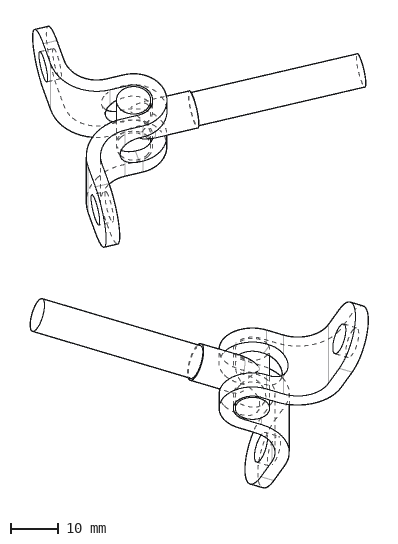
import cadquery as cq

STRAP_LENGTH = 55.0
STRAP_WIDTH = 16.05
STRAP_THICKNESS = 3.0
CROWN_INNER_RADIUS = 4.0
CROWN_CENTRE_Y = 14.0
BEND_OUTER_RADIUS = 10.05
FOOT_HOLE_DIAMETER = 6.5
SLOT_WIDTH = 8.4
SLOT_END_Y = 9.0

crown_outer_radius = CROWN_INNER_RADIUS + STRAP_THICKNESS
bend_centre_x = CROWN_INNER_RADIUS + BEND_OUTER_RADIUS
bend_inner_radius = BEND_OUTER_RADIUS - STRAP_THICKNESS
foot_end_radius = STRAP_WIDTH / 2
foot_hole_x = STRAP_LENGTH / 2 - foot_end_radius

ROD_END_Y = 63.5
ROD_DIAMETER = 7.2
COLLAR_DIAMETER = 8.0
COLLAR_END_Y = 27.05

pin_radius = ROD_DIAMETER / 2
collar_radius = COLLAR_DIAMETER / 2
pin_centre_y = CROWN_CENTRE_Y
collar_start_y = pin_centre_y + pin_radius


def make_strap_profile():
    """Hat-shaped strip: two feet, two quarter bends and a round crown."""
    half_length = STRAP_LENGTH / 2
    return (
        cq.Workplane("XY")
        .moveTo(-half_length, 0)
        .lineTo(-bend_centre_x, 0)
        .radiusArc((-CROWN_INNER_RADIUS, BEND_OUTER_RADIUS), -BEND_OUTER_RADIUS)
        .lineTo(-CROWN_INNER_RADIUS, CROWN_CENTRE_Y)
        .threePointArc((0, CROWN_CENTRE_Y + CROWN_INNER_RADIUS), (CROWN_INNER_RADIUS, CROWN_CENTRE_Y))
        .lineTo(CROWN_INNER_RADIUS, BEND_OUTER_RADIUS)
        .radiusArc((bend_centre_x, 0), -BEND_OUTER_RADIUS)
        .lineTo(half_length, 0)
        .lineTo(half_length, STRAP_THICKNESS)
        .lineTo(bend_centre_x, STRAP_THICKNESS)
        .radiusArc((crown_outer_radius, BEND_OUTER_RADIUS), bend_inner_radius)
        .lineTo(crown_outer_radius, CROWN_CENTRE_Y)
        .threePointArc((0, CROWN_CENTRE_Y + crown_outer_radius), (-crown_outer_radius, CROWN_CENTRE_Y))
        .lineTo(-crown_outer_radius, BEND_OUTER_RADIUS)
        .radiusArc((-bend_centre_x, STRAP_THICKNESS), bend_inner_radius)
        .lineTo(-half_length, STRAP_THICKNESS)
        .close()
    )


def make_crown_slot():
    """Slot across the crown, open at the top and round at its lower end."""
    slot_radius = SLOT_WIDTH / 2
    slot_centre_y = SLOT_END_Y + slot_radius
    slot_top_y = CROWN_CENTRE_Y + crown_outer_radius
    return (
        cq.Workplane("YZ")
        .moveTo(slot_top_y, slot_radius)
        .lineTo(slot_centre_y, slot_radius)
        .threePointArc((SLOT_END_Y, 0), (slot_centre_y, -slot_radius))
        .lineTo(slot_top_y, -slot_radius)
        .close()
        .extrude(bend_centre_x, both=True)
    )


def make_bracket():
    strap = make_strap_profile().extrude(STRAP_WIDTH / 2, both=True)
    strap_height = CROWN_CENTRE_Y + crown_outer_radius
    outline = cq.Workplane("XZ").slot2D(STRAP_LENGTH, STRAP_WIDTH).extrude(-strap_height)
    foot_holes = (
        cq.Workplane("XZ")
        .pushPoints([(-foot_hole_x, 0), (foot_hole_x, 0)])
        .circle(FOOT_HOLE_DIAMETER / 2)
        .extrude(-STRAP_THICKNESS)
    )
    return strap.intersect(outline).cut(foot_holes).cut(make_crown_slot())


def cylinder_along_y(radius, start_y, end_y):
    return cq.Workplane("XZ", origin=(0, start_y, 0)).circle(radius).extrude(start_y - end_y)


def make_collar_taper():
    """Cone narrowing from the collar to the rod radius at the pin axis."""
    return (
        cq.Workplane("XZ", origin=(0, collar_start_y, 0))
        .circle(collar_radius)
        .workplane(offset=collar_start_y - pin_centre_y)
        .circle(pin_radius)
        .loft()
    )


def make_swivel():
    pin = (
        cq.Workplane("XY")
        .center(0, pin_centre_y)
        .circle(pin_radius)
        .extrude(STRAP_WIDTH / 2, both=True)
    )
    collar = cylinder_along_y(collar_radius, collar_start_y, COLLAR_END_Y)
    rod = cylinder_along_y(pin_radius, pin_centre_y, ROD_END_Y)
    return pin.union(rod).union(collar).union(make_collar_taper())


bracket = make_bracket()
swivel = make_swivel()
result = cq.Compound.makeCompound([bracket.val(), swivel.val()])